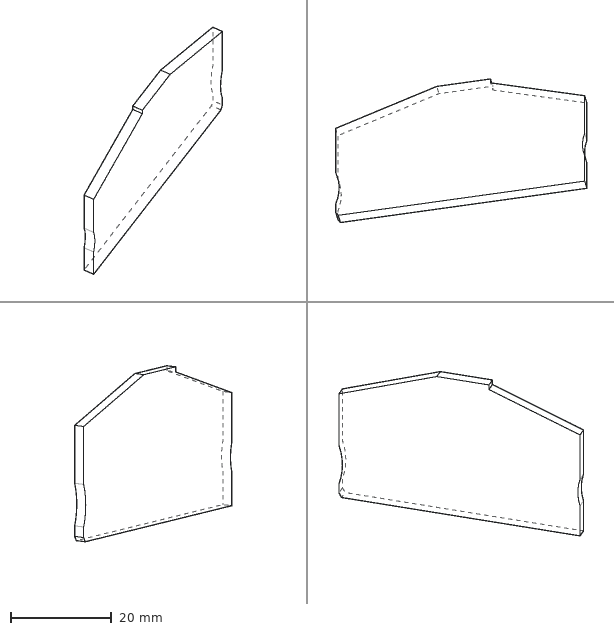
import cadquery as cq
import math

thickness = 2.2
length = 50.5
height = 30.8
half_length = length / 2

slope = math.tan(math.radians(20))
flat_back_y = 4.75
flat_front_y = -6.15
back_shoulder_z = height - (half_length - flat_back_y) * slope
front_shoulder_z = 22.85
step_foot_z = front_shoulder_z + (half_length + flat_front_y) * slope

back_notch_z = 7.35
back_notch_width = 8.6
back_notch_depth = 0.7
front_notch_z = 9.8
front_notch_width = 5.95
front_notch_depth = 0.45

chamfer_y = 0.55
chamfer_z = 0.95


def plate():
    outline = [
        (-half_length, 0),
        (half_length - chamfer_y, 0),
        (half_length, chamfer_z),
        (half_length, back_shoulder_z),
        (flat_back_y, height),
        (flat_front_y, height),
        (flat_front_y, step_foot_z),
        (-half_length, front_shoulder_z),
    ]
    return cq.Workplane("YZ").polyline(outline).close().extrude(thickness / 2, both=True)


def end_notch(side, center_z, width, depth):
    """Arc-shaped cutter on the end at side (+1 or -1) along Y."""
    end_y = side * half_length
    return (
        cq.Workplane("YZ")
        .moveTo(end_y, center_z - width / 2)
        .threePointArc((end_y - side * depth, center_z), (end_y, center_z + width / 2))
        .close()
        .extrude(thickness / 2, both=True)
    )


back_notch = end_notch(1, back_notch_z, back_notch_width, back_notch_depth)
front_notch = end_notch(-1, front_notch_z, front_notch_width, front_notch_depth)
result = plate().cut(back_notch).cut(front_notch)